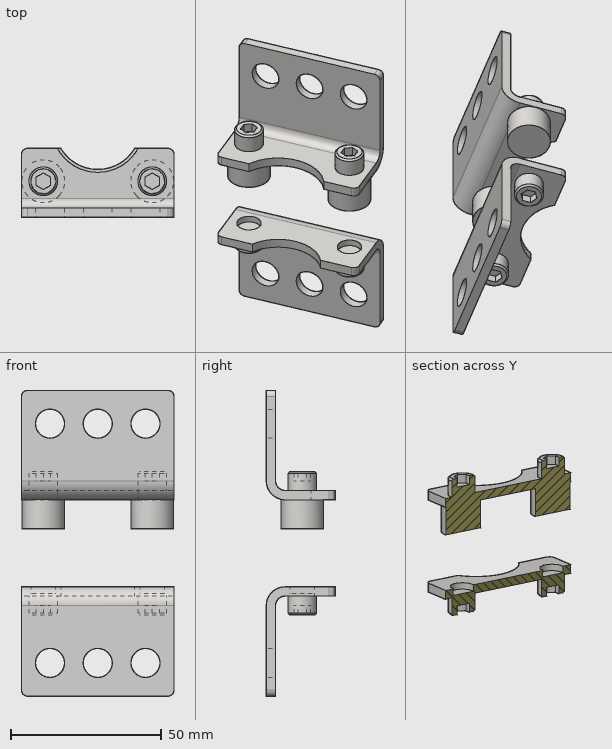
import cadquery as cq

width = 50.8
depth = 23.0
overall_height = 101.8
leg_height = 36.5
top = overall_height / 2
flange_z = top - leg_height
front_y = -depth / 2
back_y = depth / 2

thickness = 3.2
bend_inner_radius = 3.2
bend_outer_radius = bend_inner_radius + thickness
corner_radius = 2.0

mount_hole_diameter = 9.6
mount_hole_spacing = 15.9
mount_hole_z = top - 11.1

clearance_center_y = back_y + 7.2
upper_clearance_radius = 15.3
lower_clearance_radius = 14.3

screw_spacing = 36.3
screw_y = front_y + 12.0
screw_points = [(-screw_spacing / 2, screw_y), (screw_spacing / 2, screw_y)]
head_diameter = 9.6
head_height = 6.2
head_chamfer = 0.6
socket_flats = 4.8
socket_depth = 3.1
boss_diameter = 14.3
boss_height = 9.7
screw_hole_diameter = 8.0
screw_hole_depth = 2.2


def on_level(z):
    """Workplane parallel to XY at height z."""
    return cq.Workplane("XY").workplane(offset=z)


def bent_plate():
    """L-shaped plate, flange at the bottom and leg rising at the front."""
    plate = (
        cq.Workplane("YZ")
        .moveTo(front_y, top)
        .lineTo(front_y, flange_z)
        .lineTo(back_y, flange_z)
        .lineTo(back_y, flange_z + thickness)
        .lineTo(front_y + thickness, flange_z + thickness)
        .lineTo(front_y + thickness, top)
        .close()
        .extrude(width / 2, both=True)
    )
    plate = plate.edges("|X and <Y and <Z").fillet(bend_outer_radius)
    inner_corner = cq.selectors.NearestToPointSelector((0, front_y + thickness, flange_z + thickness))
    plate = plate.edges("|X").edges(inner_corner).fillet(bend_inner_radius)
    plate = plate.faces(">Z").edges("|Y").fillet(corner_radius)
    return plate.faces(">Y").edges("|Z").fillet(corner_radius)


def mount_holes():
    return (
        cq.Workplane("XZ", origin=(0, 0, mount_hole_z))
        .rarray(mount_hole_spacing, 1, 3, 1)
        .circle(mount_hole_diameter / 2)
        .extrude(depth, both=True)
    )


def flange_clearance(radius):
    return on_level(flange_z).center(0, clearance_center_y).circle(radius).extrude(thickness)


def screw_heads():
    """Chamfered cylindrical heads standing on the flange."""
    return (
        on_level(flange_z + thickness)
        .pushPoints(screw_points)
        .circle(head_diameter / 2)
        .extrude(head_height)
        .faces(">Z")
        .edges()
        .chamfer(head_chamfer)
    )


def hex_sockets():
    """Blind hexagons with two flats square to X."""
    sockets = cq.Workplane("XY")
    for x, y in screw_points:
        socket = (
            cq.Workplane("XY")
            .polygon(6, socket_flats, circumscribed=True)
            .extrude(socket_depth)
            .translate((x, y, flange_z + thickness + head_height - socket_depth))
        )
        sockets = sockets.add(socket)
    return sockets.combine()


def bracket(clearance_radius):
    """Bracket with its leg pointing up, without bosses or screw holes."""
    return (
        bent_plate()
        .cut(mount_holes())
        .cut(flange_clearance(clearance_radius))
        .union(screw_heads())
        .cut(hex_sockets())
    )


def upper_bracket():
    """Bracket with a solid boss under each screw head."""
    bosses = (
        on_level(flange_z + thickness)
        .pushPoints(screw_points)
        .circle(boss_diameter / 2)
        .extrude(-boss_height - thickness)
    )
    return bracket(upper_clearance_radius).union(bosses)


def lower_bracket():
    """Inverted bracket with a blind screw hole behind each head."""
    screw_holes = (
        on_level(flange_z)
        .pushPoints(screw_points)
        .circle(screw_hole_diameter / 2)
        .extrude(screw_hole_depth)
    )
    return bracket(lower_clearance_radius).cut(screw_holes).mirror("XY")


result = cq.Compound.makeCompound([upper_bracket().val(), lower_bracket().val()])